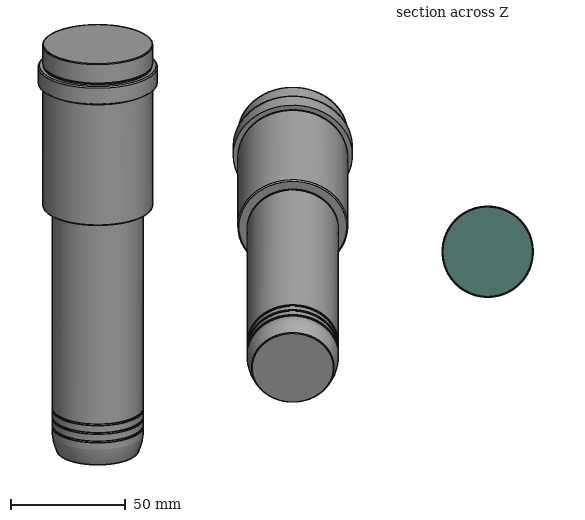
import cadquery as cq

total_length = 190.0
head_length = 10.0
collar_length = 8.0
collar_top = total_length - head_length
collar_bottom = collar_top - collar_length
sleeve_bottom = 114.2
nose_length = 8.0

collar_diameter = 52.0
sleeve_diameter = 48.0
pin_diameter = 39.9
tip_diameter = 36.1

collar_chamfer = 0.5
sleeve_chamfer = 0.5
head_chamfer = 0.4
tip_chamfer = 0.4
nose_bulge = 0.4

relief_width = 1.1
relief_floor = 0.5
relief_depth = 0.28
neck_width = 1.0
neck_depth = 0.4

groove_count = 3
groove_pitch = 4.0
groove_width = 0.8
groove_depth = 0.4


def cylinder(diameter, bottom, top):
    """Solid cylinder on the Z axis between two heights."""
    return cq.Workplane("XY").workplane(offset=bottom).circle(diameter / 2).extrude(top - bottom)


def ring_cut(diameter, depth, bottom, width):
    """Ring that removes a groove of the given depth from a shaft of the given diameter."""
    outer = cylinder(diameter + depth, bottom, bottom + width)
    return outer.cut(cylinder(diameter - 2 * depth, bottom, bottom + width))


def rounded_nose():
    """Slightly bulged taper from the pin down to the chamfered tip."""
    tip_radius = tip_diameter / 2
    pin_radius = pin_diameter / 2
    middle_radius = (tip_radius + pin_radius) / 2 + nose_bulge
    middle_height = (tip_chamfer + nose_length) / 2
    return (
        cq.Workplane("XZ")
        .lineTo(tip_radius - tip_chamfer, 0)
        .lineTo(tip_radius, tip_chamfer)
        .threePointArc((middle_radius, middle_height), (pin_radius, nose_length))
        .lineTo(0, nose_length)
        .close()
        .revolve(360, (0, 0, 0), (0, 1, 0))
    )


def collar_relief(collar_face, direction):
    """Groove ring against a collar face, its floor sloping out to the sleeve surface."""
    surface_radius = sleeve_diameter / 2
    floor_radius = surface_radius - relief_depth
    floor_end = collar_face + direction * relief_floor
    slope_end = collar_face + direction * relief_width
    return (
        cq.Workplane("XZ")
        .moveTo(floor_radius, collar_face)
        .lineTo(floor_radius, floor_end)
        .lineTo(surface_radius, slope_end)
        .lineTo(surface_radius, collar_face)
        .close()
        .revolve(360, (0, 0, 0), (0, 1, 0))
    )


pin = cylinder(pin_diameter, nose_length, sleeve_bottom).union(rounded_nose())
pin = pin.cut(ring_cut(pin_diameter, neck_depth, sleeve_bottom - neck_width, neck_width))
for index in range(groove_count):
    groove_bottom = nose_length + (index + 1) * groove_pitch - groove_width
    pin = pin.cut(ring_cut(pin_diameter, groove_depth, groove_bottom, groove_width))

sleeve = cylinder(sleeve_diameter, sleeve_bottom, total_length)
sleeve = sleeve.faces("<Z").chamfer(sleeve_chamfer)
sleeve = sleeve.faces(">Z").chamfer(head_chamfer)
sleeve = sleeve.cut(collar_relief(collar_top, 1)).cut(collar_relief(collar_bottom, -1))

collar = cylinder(collar_diameter, collar_bottom, collar_top).faces(">Z").edges().chamfer(collar_chamfer)

result = pin.union(sleeve).union(collar)